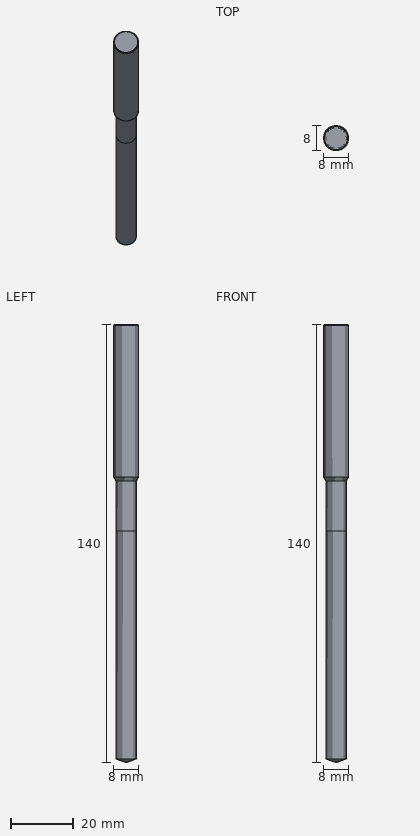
import cadquery as cq
import math

total_length = 140.0
shank_radius = 8.0 / 2
neck_radius = 6.6 / 2

shank_length = 48.7
shoulder_angle = 30.0
holder_length = 66.0
top_chamfer = 0.3

point_angle = 140.0

joint_z = total_length - holder_length
shoulder_top_z = total_length - shank_length
shoulder_height = (shank_radius - neck_radius) / math.tan(math.radians(shoulder_angle))
point_height = neck_radius / math.tan(math.radians(point_angle / 2))


def revolve_profile(points):
    """Turn a closed (radius, height) outline about the Z axis."""
    return cq.Workplane("XZ").polyline(points).close().revolve(360, (0, 0, 0), (0, 1, 0))


def make_holder():
    """Shank that tapers through a conical shoulder to a thinner neck."""
    holder = revolve_profile([
        (0, joint_z),
        (neck_radius, joint_z),
        (neck_radius, shoulder_top_z - shoulder_height),
        (shank_radius, shoulder_top_z),
        (shank_radius, total_length),
        (0, total_length),
    ])
    return holder.faces(">Z").edges().chamfer(top_chamfer)


def make_cutting_head():
    """Plain round head with a conical point, butted against the neck."""
    return revolve_profile([
        (0, 0),
        (neck_radius, point_height),
        (neck_radius, joint_z),
        (0, joint_z),
    ])


holder = make_holder()
cutting_head = make_cutting_head()
result = cq.Compound.makeCompound([holder.val(), cutting_head.val()])